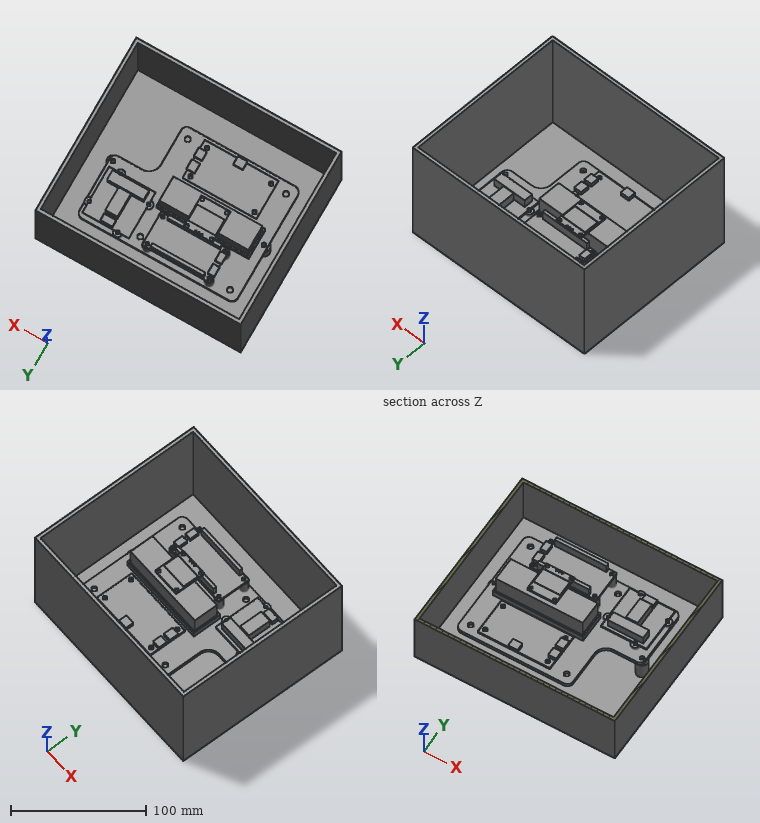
import cadquery as cq
import math


box_length = 175
box_width = 151.0
box_height = 95.0
wall = 3.0
floor_z = wall
post_diameter = 10.0
post_spacing = 128.6
post_hole_diameter = 3.5

plate_length = 135.0
plate_width = 99.5
plate_center_y = -0.4
plate_thickness = 3.0
plate_top_z = 21.0
plate_bottom_z = plate_top_z - plate_thickness
plate_left = -plate_length / 2
plate_right = plate_length / 2
plate_front = plate_center_y - plate_width / 2
plate_back = plate_center_y + plate_width / 2
notch_x = 32.2
notch_y = -5.0
plate_corner_radius = 5.0
notch_radius = 10.0
plate_hole_diameter = 4.5
plate_hole_points = [(-59.3, 42.0), (18.4, 39.9), (-59.3, -41.8), (24.5, -41.8)]
post_points = [(-post_spacing / 2, 0), (post_spacing / 2, 0)]

standoff_diameter = 7.0
standoff_fillet = 1.0
standoff_hole_diameter = 2.5
low_standoff_height = 3.0
high_standoff_height = 11.9

board_thickness = 1.5
connector_height = 3.2

power_length = 39.7
power_width = 40.0
power_x = 44.5
power_y = 26.0
power_z = plate_top_z + low_standoff_height
power_hole_diameter = 3.2
power_hole_points = [(34.1, 46.2), (64.2, 36.0), (24.5, 16.3), (54.2, 6.3)]
power_components = [
    (44.3, 42.5, 10.3, 5.6, 4.0),
    (44.3, 27.6, 10.3, 20.0, 7.9),
    (44.3, 12.8, 31.2, 8.2, 7.4),
]

main_length = 58.1
main_width = 29.0
main_x = -16.3
main_y = 32.9
main_z = plate_top_z + high_standoff_height
main_hole_diameter = 3.0
main_hole_x = -16.6
main_hole_spacing_x = 52.8
main_hole_spacing_y = 23.6
header_length = 45.2
header_width = 2.8
header_height = 7.7
header_x = -16.8
header_spacing = 24.8
main_connector_x = -43.2
main_connector_length = 5.6
main_connector_width = 8.2
main_connector_ys = [38.3, 27.3]

control_length = 63.0
control_width = 33.2
control_x = -18.7
control_y = -30.1
control_z = plate_top_z + low_standoff_height
control_hole_diameter = 3.5
control_hole_x = -19.0
control_hole_y = -29.8
control_hole_spacing_x = 54.6
control_hole_spacing_y = 24.8
control_connectors = [
    (10.0, -24.5, 7.0, 8.2, connector_height),
    (10.0, -35.2, 7.0, 7.5, connector_height),
    (-19.0, -44.0, 8.2, 7.0, connector_height),
]

sensor_length = 24.8
sensor_width = 27.0
sensor_x = -20.5
sensor_y = 8.2
sensor_z = main_z + board_thickness + header_height
sensor_hole_diameter = 2.8
sensor_hole_spacing_x = 20.8
sensor_hole_spacing_y = 23.0
sensor_hole_y = 8.4
sensor_chip_length = 23.5
sensor_chip_width = 13.8
sensor_chip_y = 9.3
sensor_chip_height = 0.5
pin_hole_diameter = 1.5
pin_pitch = 2.54
pin_count = 3
pin_row_y = main_y - header_spacing / 2

battery_length = 76.0
battery_width = 21.0
battery_x = -20.5
battery_y = 2.5
battery_top_z = 40.6
tray_wall = 1.4
tray_gap_y = 0.7
tray_pocket_width = battery_width + 2 * tray_gap_y
tray_height = 5.0


def block(x, y, z, length, width, height):
    """A box centred on (x, y) whose underside is at z."""
    return cq.Workplane("XY").box(length, width, height, centered=(True, True, False)).translate((x, y, z))


def cylinders(points, z, diameter, height):
    """Upright cylinders standing on z at the given points."""
    return cq.Workplane("XY").workplane(offset=z).pushPoints(points).circle(diameter / 2).extrude(height)


def rectangle_points(x, y, spacing_x, spacing_y):
    """The four corners of a rectangle centred on (x, y)."""
    return [(x + i * spacing_x / 2, y + j * spacing_y / 2) for i in (-1, 1) for j in (-1, 1)]


main_hole_points = rectangle_points(main_hole_x, main_y, main_hole_spacing_x, main_hole_spacing_y)
control_hole_points = rectangle_points(
    control_hole_x, control_hole_y, control_hole_spacing_x, control_hole_spacing_y
)
sensor_hole_points = rectangle_points(sensor_x, sensor_hole_y, sensor_hole_spacing_x, sensor_hole_spacing_y)


def make_enclosure():
    cavity = block(0, 0, floor_z, box_length - 2 * wall, box_width - 2 * wall, box_height - floor_z)
    shell = block(0, 0, 0, box_length, box_width, box_height).cut(cavity)
    post_height = plate_bottom_z - floor_z
    posts = cylinders(post_points, floor_z, post_diameter, post_height)
    post_holes = cylinders(post_points, floor_z, post_hole_diameter, post_height)
    return shell.union(posts).cut(post_holes)


def plate_prism(height):
    """The plate's L-shaped outline with rounded corners, extruded up from its underside."""
    outline = [
        (plate_left, plate_front),
        (notch_x, plate_front),
        (notch_x, notch_y),
        (plate_right, notch_y),
        (plate_right, plate_back),
        (plate_left, plate_back),
    ]
    prism = cq.Workplane("XY").workplane(offset=plate_bottom_z).polyline(outline).close().extrude(height)
    inner_corner = cq.selectors.NearestToPointSelector((notch_x, notch_y, plate_bottom_z + height / 2))
    upright = cq.selectors.ParallelDirSelector(cq.Vector(0, 0, 1))
    outer_corners = cq.selectors.SubtractSelector(upright, inner_corner)
    return prism.edges(outer_corners).fillet(plate_corner_radius).edges(inner_corner).fillet(notch_radius)


def standoff(x, y, height):
    """A post on the plate whose foot flares out in a concave fillet."""
    radius = standoff_diameter / 2
    arc_center = radius + standoff_fillet
    arc_sag = standoff_fillet * math.sqrt(0.5)
    profile = (
        cq.Workplane("XZ")
        .lineTo(arc_center, 0)
        .threePointArc((arc_center - arc_sag, standoff_fillet - arc_sag), (radius, standoff_fillet))
        .lineTo(radius, height)
        .lineTo(0, height)
        .close()
    )
    return profile.revolve(360, (0, 0), (0, 1)).translate((x, y, plate_top_z))


def make_plate():
    plate = plate_prism(plate_thickness)
    for points, height in (
        (power_hole_points, low_standoff_height),
        (control_hole_points, low_standoff_height),
        (main_hole_points, high_standoff_height),
    ):
        for x, y in points:
            plate = plate.union(standoff(x, y, height))
        plate = plate.cut(cylinders(points, plate_top_z, standoff_hole_diameter, height))
    plate = plate.intersect(plate_prism(plate_thickness + high_standoff_height))

    tray_length = battery_length + 2 * tray_wall
    tray_width = tray_pocket_width + 2 * tray_wall
    tray = block(battery_x, battery_y, plate_top_z, tray_length, tray_width, tray_height)
    pocket = block(battery_x, battery_y, plate_top_z, battery_length, tray_pocket_width, tray_height)
    plate = plate.union(tray.cut(pocket))

    corner_holes = cylinders(plate_hole_points, plate_bottom_z, plate_hole_diameter, plate_thickness)
    post_holes = cylinders(post_points, plate_bottom_z, post_hole_diameter, plate_thickness)
    return plate.cut(corner_holes).cut(post_holes)


def make_battery():
    height = battery_top_z - plate_top_z
    return block(battery_x, battery_y, plate_top_z, battery_length, battery_width, height)


def make_board(x, y, z, length, width, hole_points, hole_diameter, components):
    """A circuit board with through holes and box-shaped components on its top face."""
    board = block(x, y, z, length, width, board_thickness)
    board = board.cut(cylinders(hole_points, z, hole_diameter, board_thickness))
    for cx, cy, c_length, c_width, c_height in components:
        board = board.union(block(cx, cy, z + board_thickness, c_length, c_width, c_height))
    return board


def make_power_board():
    return make_board(
        power_x, power_y, power_z, power_length, power_width,
        power_hole_points, power_hole_diameter, power_components,
    )


def make_main_board():
    headers = [
        (header_x, main_y + side * header_spacing / 2, header_length, header_width, header_height)
        for side in (-1, 1)
    ]
    connectors = [
        (main_connector_x, y, main_connector_length, main_connector_width, connector_height)
        for y in main_connector_ys
    ]
    return make_board(
        main_x, main_y, main_z, main_length, main_width,
        main_hole_points, main_hole_diameter, headers + connectors,
    )


def make_control_board():
    return make_board(
        control_x, control_y, control_z, control_length, control_width,
        control_hole_points, control_hole_diameter, control_connectors,
    )


def make_sensor_board():
    chip = (sensor_x, sensor_chip_y, sensor_chip_length, sensor_chip_width, sensor_chip_height)
    board = make_board(
        sensor_x, sensor_y, sensor_z, sensor_length, sensor_width,
        sensor_hole_points, sensor_hole_diameter, [chip],
    )
    first_pin_x = sensor_x - (pin_count - 1) * pin_pitch / 2
    pin_points = [(first_pin_x + i * pin_pitch, pin_row_y) for i in range(pin_count)]
    return board.cut(cylinders(pin_points, sensor_z, pin_hole_diameter, board_thickness))


enclosure = make_enclosure()
plate = make_plate()
battery = make_battery()
power_board = make_power_board()
main_board = make_main_board()
control_board = make_control_board()
sensor_board = make_sensor_board()

bodies = [enclosure, plate, battery, power_board, main_board, control_board, sensor_board]
result = cq.Compound.makeCompound([body.val() for body in bodies])